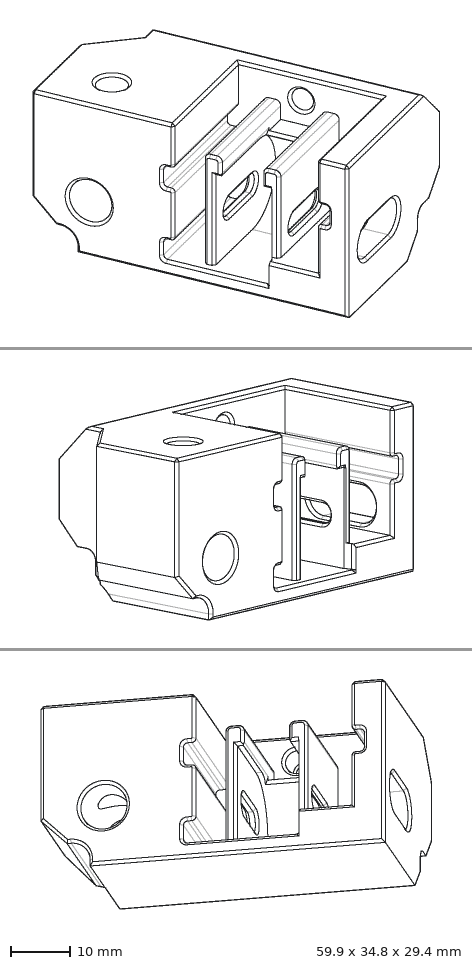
import cadquery as cq
import math

LENGTH = 59.9
DEPTH = 34.8
HEIGHT = 29.4
EDGE_CHAMFER = 0.55
REAR_TOP_CHAMFER = 0.3

SHOULDER_X = 8.55
SHOULDER_REAR_Y = 25.4
SHOULDER_FRONT_Y = 18.4
FOOT_SLOPE_TOP_Z = 8.8
FOOT_STEP_X = 4.55
FOOT_STEP_Z = 4.4
FOOT_RADIUS = 3.3

REAR_TOP_SLOPE = 6.6
NOSE_BOTTOM_Z = 12.35
NOSE_SLOPE = 4.15
REAR_STEP_Y = 26.45
REAR_STEP_RADIUS = 2.0
REAR_BOTTOM_SLOPE = 3.95

POCKET_LEFT = 26.95
POCKET_RIGHT = 54.1
POCKET_BACK_Y = 24.55
FLOOR_Z = 2.75
LEDGE_Z = 7.2
GROOVE_DEPTH = 2.15
GROOVE_BOTTOM_Z = 16.75
GROOVE_TOP_Z = 20.8
UNDERCUT_TOP_Z = 6.7
GROOVE_CORNER_RADIUS = 0.7
GROOVE_LIP_RADIUS = 0.7

FIN_FRONT_Y = 2.0
FIN_TOP_Z = 23.9
LEFT_FIN_X = 31.7
RIGHT_FIN_X = 46.0
HOOK_WIDTH = 3.25
HOOK_RADIUS = 1.0
CHANNEL_LEFT = 33.7
CHANNEL_RIGHT = 44.45
CHANNEL_TOP_Z = 20.25
CHANNEL_AXIS_Y = 16.2
BRIDGE_FRONT_Y = 20.2
BRIDGE_LIP_SET_BACK = 0.25
BRIDGE_LIP_HEIGHT = 1.2
OPENING_FLARE = 0.3
OPENING_FLARE_HEIGHT = 0.6
RELIEF_STRAIGHT = 1.0
RELIEF_END_Y = 2.3

SLOT_FRONT_Y = 7.5
FIN_SLOT_RADIUS = 1.8
WALL_SLOT_RADIUS = 3.35

FRONT_HOLE_X = 10.95
FRONT_HOLE_Z = 10.5
FRONT_HOLE_RADIUS = 4.0
FRONT_HOLE_DEPTH = 17.95
TOP_HOLE_Y = 8.55
TOP_HOLE_RADIUS = 2.8
SCREW_X = 38.8
SCREW_Z = 24.85
SCREW_RADIUS = 1.5
SCREW_BORE_RADIUS = 2.05
SCREW_BORE_END_Y = 30.85

CHANNEL_RADIUS = (CHANNEL_TOP_Z - FLOOR_Z) / 2
CHANNEL_AXIS_Z = FLOOR_Z + CHANNEL_RADIUS


def box(x0, x1, y0, y1, z0, z1):
    return cq.Workplane("XY").box(x1 - x0, y1 - y0, z1 - z0, centered=False).translate((x0, y0, z0))


def front_plane(y):
    """Sketch plane with local axes X and Z; a negative extrusion runs toward +Y."""
    return cq.Workplane("XZ", origin=(0, y, 0))


def side_plane(x):
    """Sketch plane with local axes Y and Z; an extrusion runs toward +X."""
    return cq.Workplane("YZ", origin=(x, 0, 0))


def square_corner_arc(outline, centre, radius, angle, end):
    """Add a quarter arc to end, whose middle lies at the given angle from its centre."""
    middle = (
        centre[0] + radius * math.cos(math.radians(angle)),
        centre[1] + radius * math.sin(math.radians(angle)),
    )
    return outline.threePointArc(middle, end)


def make_block():
    front = (
        front_plane(0)
        .moveTo(0, HEIGHT)
        .lineTo(0, FOOT_SLOPE_TOP_Z)
        .lineTo(FOOT_STEP_X, FOOT_STEP_Z)
        .lineTo(SHOULDER_X - FOOT_RADIUS, FOOT_STEP_Z)
    )
    foot_centre = (SHOULDER_X - FOOT_RADIUS, FOOT_STEP_Z - FOOT_RADIUS)
    front = square_corner_arc(front, foot_centre, FOOT_RADIUS, 45, (SHOULDER_X, foot_centre[1]))
    block = front.lineTo(SHOULDER_X, 0).lineTo(LENGTH, 0).lineTo(LENGTH, HEIGHT).close().extrude(-DEPTH)

    plan = cq.Workplane("XY").polyline([
        (0, 0),
        (LENGTH, 0),
        (LENGTH, DEPTH),
        (SHOULDER_X, DEPTH),
        (SHOULDER_X, SHOULDER_REAR_Y),
        (0, SHOULDER_FRONT_Y),
    ]).close().extrude(HEIGHT)

    step_z = NOSE_BOTTOM_Z - NOSE_SLOPE
    step_centre = (REAR_STEP_Y + REAR_STEP_RADIUS, step_z - REAR_STEP_RADIUS)
    side = (
        side_plane(0)
        .moveTo(0, 0)
        .lineTo(0, HEIGHT)
        .lineTo(DEPTH - REAR_TOP_SLOPE, HEIGHT)
        .lineTo(DEPTH, HEIGHT - REAR_TOP_SLOPE)
        .lineTo(DEPTH, NOSE_BOTTOM_Z)
        .lineTo(DEPTH - NOSE_SLOPE, step_z)
        .lineTo(step_centre[0], step_z)
    )
    side = square_corner_arc(side, step_centre, REAR_STEP_RADIUS, 135, (REAR_STEP_Y, step_centre[1]))
    side = (
        side.lineTo(REAR_STEP_Y, REAR_BOTTOM_SLOPE)
        .lineTo(REAR_STEP_Y - REAR_BOTTOM_SLOPE, 0)
        .close()
        .extrude(LENGTH)
    )
    return block.intersect(plan).intersect(side)


def make_groove(wall_x, outward, z0, z1, lips):
    """Groove in a pocket wall with round inner corners, and round lips at the given heights."""
    bottom_x = wall_x + outward * GROOVE_DEPTH
    groove = box(min(wall_x, bottom_x), max(wall_x, bottom_x), 0, POCKET_BACK_Y, z0, z1)
    groove = groove.edges("|Y").edges(">X" if outward > 0 else "<X").fillet(GROOVE_CORNER_RADIUS)
    r = GROOVE_LIP_RADIUS
    for lip_z, away in lips:
        x0, x1 = sorted((wall_x, wall_x + outward * r))
        lip_z0, lip_z1 = sorted((lip_z, lip_z + away * r))
        lip = box(x0, x1, 0, POCKET_BACK_Y, lip_z0, lip_z1)
        lip_axis = front_plane(0).center(wall_x + outward * r, lip_z + away * r)
        groove = groove.union(lip.cut(lip_axis.circle(r).extrude(-POCKET_BACK_Y)))
    return groove


def make_pocket():
    pocket = box(POCKET_LEFT, POCKET_RIGHT, 0, POCKET_BACK_Y, LEDGE_Z, HEIGHT)
    pocket = pocket.union(box(POCKET_LEFT, CHANNEL_RIGHT, 0, POCKET_BACK_Y, FLOOR_Z, LEDGE_Z))
    groove_lips = [(GROOVE_BOTTOM_Z, -1), (GROOVE_TOP_Z, 1)]
    for wall_x, outward in ((POCKET_LEFT, -1), (POCKET_RIGHT, 1)):
        pocket = pocket.union(make_groove(wall_x, outward, GROOVE_BOTTOM_Z, GROOVE_TOP_Z, groove_lips))
    undercut = make_groove(POCKET_LEFT, -1, FLOOR_Z, UNDERCUT_TOP_Z, [(UNDERCUT_TOP_Z, 1)])
    return pocket.union(undercut).clean()


def make_fin(outer_x, stem_x, inward):
    """Upright fin whose head hooks over the channel; inward is +1 or -1 along X."""
    hook_x = outer_x + inward * HOOK_WIDTH
    stem_left, stem_right = sorted((outer_x, stem_x))
    head_left, head_right = sorted((outer_x, hook_x))
    stem = box(stem_left, stem_right, FIN_FRONT_Y, POCKET_BACK_Y, FLOOR_Z, FIN_TOP_Z)
    head = box(head_left, head_right, FIN_FRONT_Y, POCKET_BACK_Y, CHANNEL_TOP_Z, FIN_TOP_Z)
    return stem.union(head).clean().edges("|Y and >Z").fillet(HOOK_RADIUS)


def make_left_fin():
    """Left fin, with its front chamfered all round except at the foot."""
    fin = make_fin(LEFT_FIN_X, CHANNEL_LEFT, 1)
    return fin.faces("<Y").edges("not(<Z)").chamfer(EDGE_CHAMFER)


def make_right_fin():
    """Right fin, chamfered like the left one but with the channel side of its stem kept square."""
    fin = make_fin(RIGHT_FIN_X, CHANNEL_RIGHT, -1)
    middle_z = (FLOOR_Z + CHANNEL_TOP_Z) / 2
    stem_edge = cq.selectors.NearestToPointSelector((CHANNEL_RIGHT, FIN_FRONT_Y, middle_z))
    front_edges = fin.faces("<Y").edges("not(<Z)").edges(cq.selectors.InverseSelector(stem_edge))
    return front_edges.chamfer(EDGE_CHAMFER)


def make_bridge():
    """Web joining the fins at the back of the channel, before the channel is cut."""
    return box(CHANNEL_LEFT, CHANNEL_RIGHT, CHANNEL_AXIS_Y, POCKET_BACK_Y, FLOOR_Z, CHANNEL_TOP_Z)


def make_opening():
    """Opening between the hooks; it flares downward at their lower edges and at the bridge's front lip."""
    top_z = CHANNEL_TOP_Z + OPENING_FLARE_HEIGHT
    drop = top_z - CHANNEL_AXIS_Z
    flare = drop * OPENING_FLARE
    left = LEFT_FIN_X + HOOK_WIDTH
    right = RIGHT_FIN_X - HOOK_WIDTH
    across = front_plane(0).polyline([
        (left, top_z),
        (right, top_z),
        (right + flare, CHANNEL_AXIS_Z),
        (left - flare, CHANNEL_AXIS_Z),
    ]).close().extrude(-POCKET_BACK_Y)
    along = side_plane(CHANNEL_LEFT - flare).polyline([
        (0, top_z),
        (BRIDGE_FRONT_Y, top_z),
        (BRIDGE_FRONT_Y, CHANNEL_TOP_Z),
        (BRIDGE_FRONT_Y - BRIDGE_LIP_SET_BACK, CHANNEL_TOP_Z - BRIDGE_LIP_HEIGHT),
        (BRIDGE_FRONT_Y - BRIDGE_LIP_SET_BACK, CHANNEL_AXIS_Z),
        (0, CHANNEL_AXIS_Z),
    ]).close().extrude(CHANNEL_RIGHT - CHANNEL_LEFT + 2 * flare)
    within_channel = box(CHANNEL_LEFT, CHANNEL_RIGHT, 0, POCKET_BACK_Y, CHANNEL_AXIS_Z, top_z)
    return across.intersect(along).intersect(within_channel)


def slot_outline(x, radius):
    """Slot outline across X, with round ends from the front centre to the channel axis."""
    middle_y = (SLOT_FRONT_Y + CHANNEL_AXIS_Y) / 2
    length = CHANNEL_AXIS_Y - SLOT_FRONT_Y + 2 * radius
    return side_plane(x).center(middle_y, CHANNEL_AXIS_Z).slot2D(length, 2 * radius)


def make_slot(x0, x1, radius):
    """Slot through a wall from x0 to x1, with chamfered rims on both faces."""
    rim_radius = radius + EDGE_CHAMFER
    left_rim = slot_outline(x0, rim_radius).extrude(EDGE_CHAMFER, taper=45)
    right_rim = slot_outline(x1, rim_radius).extrude(-EDGE_CHAMFER, taper=45)
    return slot_outline(x0, radius).extrude(x1 - x0).union(left_rim).union(right_rim)


def make_channel():
    """Round-backed space between the fins, open to the front."""
    length = CHANNEL_RIGHT - CHANNEL_LEFT
    axis = side_plane(CHANNEL_LEFT).center(CHANNEL_AXIS_Y, CHANNEL_AXIS_Z)
    back = axis.circle(CHANNEL_RADIUS).extrude(length)
    return back.union(box(CHANNEL_LEFT, CHANNEL_RIGHT, 0, CHANNEL_AXIS_Y, FLOOR_Z, CHANNEL_TOP_Z))


def make_relief():
    """Relief that bevels the front of the channel's right side, from the floor up to the hook."""
    wide_x = CHANNEL_RIGHT + EDGE_CHAMFER
    return cq.Workplane("XY", origin=(0, 0, FLOOR_Z)).polyline([
        (CHANNEL_RIGHT, 0),
        (wide_x, 0),
        (wide_x, RELIEF_STRAIGHT),
        (CHANNEL_RIGHT, RELIEF_END_Y),
    ]).close().extrude(CHANNEL_TOP_Z - FLOOR_Z)


def chamfered_hole(axis, radius, depth):
    """Blind hole along an axis plane's inward normal, with a chamfered rim."""
    rim = axis.circle(radius + EDGE_CHAMFER).workplane(offset=-EDGE_CHAMFER).circle(radius).loft()
    return rim.union(axis.circle(radius).extrude(-depth))


def make_holes():
    front_hole = chamfered_hole(
        front_plane(0).center(FRONT_HOLE_X, FRONT_HOLE_Z), FRONT_HOLE_RADIUS, FRONT_HOLE_DEPTH
    )
    top_axis = cq.Workplane("XY", origin=(FRONT_HOLE_X, TOP_HOLE_Y, HEIGHT))
    top_hole = chamfered_hole(top_axis, TOP_HOLE_RADIUS, HEIGHT - FRONT_HOLE_Z)
    screw_axis = front_plane(POCKET_BACK_Y).center(SCREW_X, SCREW_Z)
    screw_bore = chamfered_hole(screw_axis, SCREW_BORE_RADIUS, SCREW_BORE_END_Y - POCKET_BACK_Y)
    screw_hole = screw_axis.circle(SCREW_RADIUS).extrude(POCKET_BACK_Y - DEPTH)
    return front_hole.union(top_hole).union(screw_bore).union(screw_hole)


body = make_block().cut(make_pocket())
body = body.faces("<Y or >Z").edges("not(>Y)").chamfer(EDGE_CHAMFER)
body = body.faces(">Z").edges(">Y").chamfer(REAR_TOP_CHAMFER)
body = body.union(make_left_fin()).union(make_right_fin()).union(make_bridge())
body = body.cut(make_channel()).cut(make_opening()).cut(make_relief()).cut(make_holes())

slots = (
    (LEFT_FIN_X, CHANNEL_LEFT, FIN_SLOT_RADIUS),
    (CHANNEL_RIGHT, RIGHT_FIN_X, FIN_SLOT_RADIUS),
    (POCKET_RIGHT, LENGTH, WALL_SLOT_RADIUS),
)
for left_x, right_x, slot_radius in slots:
    body = body.cut(make_slot(left_x, right_x, slot_radius))

result = body